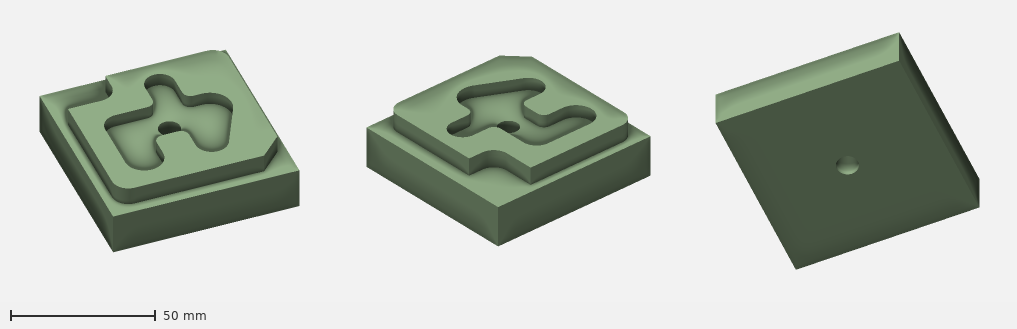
import cadquery as cq
import math

base_length = 70.0
base_width = 69.0
base_height = 16.0

island_height = 7.0
island_left = -29.0
island_right = 31.0
island_half_width = 31.0
island_corner_radius = 6.0
island_chamfer = 8.0
notch_length = 12.0
notch_width = 18.5

pocket_depth = 5.0
trunk_half_width = 8.0
pocket_bottom = -23.0
trunk_corner_radius = 6.0
inner_radius = 3.0
left_arm_radius = 5.5
left_arm_x = -18.0
left_arm_y = 3.5
lower_arm_radius = 7.0
lower_arm_x = 17.0
lower_arm_y = pocket_bottom + lower_arm_radius
upper_arm_radius = 6.0
upper_arm_x = 17.0
upper_arm_y = 9.0
crown_radius = trunk_half_width
crown_y = 15.0

hole_diameter = 8.0

total_height = base_height + island_height


def arc_point(x, y, radius, degrees):
    """Point on a circle about (x, y), at an angle counted from +X."""
    angle = math.radians(degrees)
    return x + radius * math.cos(angle), y + radius * math.sin(angle)


def make_base():
    return cq.Workplane("XY").box(base_length, base_width, base_height, centered=(True, True, False))


def make_island():
    """Block with two rounded corners, one chamfered corner and a notch with a rounded inner corner."""
    notch_x = island_left + notch_length
    notch_y = -island_half_width + notch_width
    corners = [
        (notch_x, -island_half_width),
        (island_right, -island_half_width),
        (island_right, island_half_width - island_chamfer),
        (island_right - island_chamfer, island_half_width),
        (island_left, island_half_width),
        (island_left, notch_y),
        (notch_x, notch_y),
    ]
    island = cq.Workplane("XY").workplane(offset=base_height).polyline(corners).close().extrude(island_height)
    rounded_corners = [
        (island_right, -island_half_width),
        (island_left, island_half_width),
        (notch_x, notch_y),
    ]
    middle_z = base_height + island_height / 2
    for x, y in rounded_corners:
        edge = cq.selectors.NearestToPointSelector((x, y, middle_z))
        island = island.edges("|Z").edges(edge).fillet(island_corner_radius)
    return island


def make_pocket():
    """Pocket with a vertical trunk, two arms on the right, one on the left and a sloping top edge."""
    left_arm_top = left_arm_y + left_arm_radius
    left_arm_bottom = left_arm_y - left_arm_radius
    upper_arm_bottom = upper_arm_y - upper_arm_radius
    lower_arm_top = lower_arm_y + lower_arm_radius

    drop = crown_y - upper_arm_y
    spacing = math.hypot(upper_arm_x, drop)
    slope = math.atan2(drop, upper_arm_x) + math.asin((crown_radius - upper_arm_radius) / spacing)
    touch = 90 - math.degrees(slope)

    outline = (
        cq.Workplane("XY", origin=(0, 0, total_height - pocket_depth))
        .moveTo(-trunk_half_width + trunk_corner_radius, pocket_bottom)
        .lineTo(lower_arm_x, pocket_bottom)
        .threePointArc((lower_arm_x + lower_arm_radius, lower_arm_y), (lower_arm_x, lower_arm_top))
        .lineTo(trunk_half_width + inner_radius, lower_arm_top)
        .tangentArcPoint((trunk_half_width, lower_arm_top + inner_radius), relative=False)
        .lineTo(trunk_half_width, upper_arm_bottom - inner_radius)
        .tangentArcPoint((trunk_half_width + inner_radius, upper_arm_bottom), relative=False)
        .lineTo(upper_arm_x, upper_arm_bottom)
        .threePointArc(
            (upper_arm_x + upper_arm_radius, upper_arm_y),
            arc_point(upper_arm_x, upper_arm_y, upper_arm_radius, touch),
        )
        .lineTo(*arc_point(0, crown_y, crown_radius, touch))
        .threePointArc((0, crown_y + crown_radius), (-crown_radius, crown_y))
        .lineTo(-trunk_half_width, left_arm_top + inner_radius)
        .tangentArcPoint((-trunk_half_width - inner_radius, left_arm_top), relative=False)
        .lineTo(left_arm_x, left_arm_top)
        .threePointArc((left_arm_x - left_arm_radius, left_arm_y), (left_arm_x, left_arm_bottom))
        .lineTo(-trunk_half_width - inner_radius, left_arm_bottom)
        .tangentArcPoint((-trunk_half_width, left_arm_bottom - inner_radius), relative=False)
        .lineTo(-trunk_half_width, pocket_bottom + trunk_corner_radius)
        .tangentArcPoint((-trunk_half_width + trunk_corner_radius, pocket_bottom), relative=False)
        .close()
    )
    return outline.extrude(pocket_depth)


def make_hole():
    return cq.Workplane("XY").circle(hole_diameter / 2).extrude(total_height)


result = make_base().union(make_island()).cut(make_pocket()).cut(make_hole())